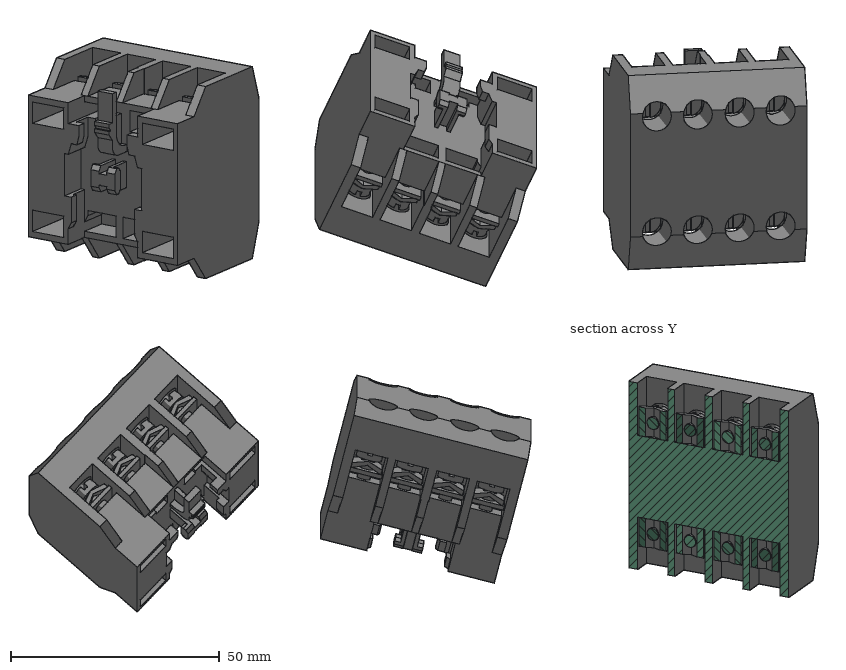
import cadquery as cq
import math


WIDTH = 43.0
HEIGHT = 48.0
DEPTH = 35.1
HALF_WIDTH = WIDTH / 2
HALF_HEIGHT = HEIGHT / 2
STEP_Z = 17.7
STEP_DEPTH = 7.1
SLOPE_END_Y = 12.1
BACK_CHAMFER_Y = 2.95
BACK_CHAMFER_Z = 8.8

POLE_X = [-15.05, -5.1, 5.1, 15.05]
SIDES = [1, -1]
POCKET_WIDTH = 8.05
POCKET_FLOOR_Z = 10.55
POCKET_FRONT_Y = 16.25
POCKET_BACK_Y = 24.1
ENTRY_EXTRA = 0.2
DRIVER_HOLE_RADIUS = 3.5

SCREW_Z = 14.25
HEAD_RADIUS = 3.1
HEAD_TOP_Y = 23.7
HEAD_LENGTH = 2.4
SHANK_RADIUS = 1.6
DRIVE_SLOT_WIDTH = 1.2
DRIVE_SLOT_DEPTH = 1.2
PLATE_FRONT_Y = 17.8
PLATE_THICKNESS = 1.0
PLATE_TOP_Z = 18.3
SADDLE_HALF_WIDTH = 3.7
SADDLE_FOOT = 0.35
SADDLE_EDGE = 1.1
SADDLE_INNER_RISE = 1.35
SADDLE_OUTER_RISE = 2.35

CHANNEL_HALF = 10.05
LIP_DEPTH = 2.35
LEDGE_Z = 12.5
JAW_HALF = 9.1
TAPER_TOP_Z = 7.6
BAY_TOP_Z = 4.8
TAPER_END_HALF = 10.0
BAY_HALF = 11.1
BAY_BOTTOM_Z = -5.75
UPPER_LIP_HALF = 6.95
UPPER_LIP_END_HALF = 7.5
UPPER_LIP_BEND_Z = 9.7
LOWER_LIP_BEND_Z = -12.15
LOWER_LIP_END_Z = -13.8

OPENING_LOW_Z = 10.85
OPENING_HIGH_Z = 16.2
OPENING_END_Y = 14.4
OUTER_OPENING_NEAR_X = 11.4
OUTER_OPENING_FAR_X = 20.3
TOP_OPENING_NEAR_X = 3.0
BOTTOM_OPENING_NEAR_X = 1.0

LATCH_HALF_WIDTH = 2.1
LATCH_FRONT_Y = 0.95
LATCH_BACK_Y = 2.6
LATCH_TOP_Z = 21.7
LATCH_BOTTOM_Z = 5.75
LATCH_OUTER_RADIUS = 2.6
ARM_TOP_Z = 7.55
LATCH_INNER_RADIUS = 3.9
TOOTH_TIP_Y = -0.45
TOOTH_VALLEY_Y = 0.2
UPPER_TOOTH_TOP_Z = 14.45
UPPER_TOOTH_EDGE_Z = 13.45
LOWER_TOOTH_TOP_Z = 12.6
LOWER_TOOTH_EDGE_Z = 11.7
TOOTH_ROOT_Z = 10.1
WEB_HALF_WIDTH = 0.55
WEB_FRONT_Y = 4.1
WEB_TOP_Z = 15.0

STOP_HALF_WIDTH = 3.45
STOP_HALF_HEIGHT = 3.25
STOP_FACE_HALF_HEIGHT = 2.05
STOP_CREST_FRONT_Y = 0.75
STOP_CREST_BACK_Y = 1.55
STOP_HOOK_BACK_HALF_HEIGHT = 2.4
STEM_HALF_WIDTH = 2.05
NOTCH_HALF_WIDTH = 1.1
NOTCH_FLOOR_Z = 1.45


def block(x_span, y_span, z_span):
    """Box between two values on each axis, given in either order."""
    spans = [x_span, y_span, z_span]
    sizes = [abs(end - start) for start, end in spans]
    low = [min(span) for span in spans]
    return cq.Workplane("XY").box(*sizes, centered=False).translate(tuple(low))


def round_bar(x, z, radius, y_start, y_end):
    """Cylinder along Y."""
    return cq.Workplane("XZ", origin=(x, y_start, z)).circle(radius).extrude(y_start - y_end)


def side_prism(outline, half_width):
    """Prism across X, centred, from a (Y, Z) outline."""
    return cq.Workplane("YZ").polyline(outline).close().extrude(half_width, both=True)


def mirrored_prism(half_outline, y_start, y_end):
    """Prism along Y from the right half (X, Z) of a symmetric outline."""
    left_half = [(-x, z) for x, z in reversed(half_outline)]
    outline = half_outline + left_half
    return cq.Workplane("XZ", origin=(0, y_start, 0)).polyline(outline).close().extrude(y_start - y_end)


def housing_block():
    upper = [
        (0, STEP_Z),
        (STEP_DEPTH, STEP_Z),
        (SLOPE_END_Y, HALF_HEIGHT),
        (DEPTH - BACK_CHAMFER_Y, HALF_HEIGHT),
        (DEPTH, HALF_HEIGHT - BACK_CHAMFER_Z),
    ]
    lower = [(y, -z) for y, z in reversed(upper)]
    return side_prism(upper + lower, HALF_WIDTH)


def pocket_cut(pole_x, side):
    """Screw pocket, its open entry at the front and the driver hole at the back."""
    left = pole_x - POCKET_WIDTH / 2
    right = pole_x + POCKET_WIDTH / 2
    pocket = block(
        (left, right),
        (POCKET_FRONT_Y, POCKET_BACK_Y),
        (side * POCKET_FLOOR_Z, side * HALF_HEIGHT),
    )
    if pole_x == POLE_X[1]:
        right += ENTRY_EXTRA
    if pole_x == POLE_X[2]:
        left -= ENTRY_EXTRA
    entry = block((left, right), (STEP_DEPTH, POCKET_FRONT_Y), (side * STEP_Z, side * HALF_HEIGHT))
    driver_hole = round_bar(pole_x, side * SCREW_Z, DRIVER_HOLE_RADIUS, POCKET_BACK_Y, DEPTH)
    return pocket.union(entry).union(driver_hole)


BAY_EDGE = [
    (JAW_HALF, TAPER_TOP_Z),
    (TAPER_END_HALF, BAY_TOP_Z),
    (BAY_HALF, BAY_TOP_Z),
    (BAY_HALF, BAY_BOTTOM_Z),
]


def channel_mouth(y_start, y_end):
    """Prism of the channel outline between the lips."""
    half_outline = [
        (CHANNEL_HALF, STEP_Z),
        (CHANNEL_HALF, LEDGE_Z),
        (UPPER_LIP_HALF, LEDGE_Z),
        (UPPER_LIP_HALF, UPPER_LIP_BEND_Z),
        (UPPER_LIP_END_HALF, TAPER_TOP_Z),
        *BAY_EDGE,
        (JAW_HALF, BAY_BOTTOM_Z),
        (JAW_HALF, LOWER_LIP_BEND_Z),
        (CHANNEL_HALF, LOWER_LIP_END_Z),
        (CHANNEL_HALF, -STEP_Z),
    ]
    return mirrored_prism(half_outline, y_start, y_end)


def channel_cut():
    """Rail channel: the lips narrow its front, the space behind them is wider."""
    undercut_outline = [
        (CHANNEL_HALF, STEP_Z),
        (CHANNEL_HALF, LEDGE_Z),
        (JAW_HALF, LEDGE_Z),
        *BAY_EDGE,
        (CHANNEL_HALF, BAY_BOTTOM_Z),
        (CHANNEL_HALF, -STEP_Z),
    ]
    undercut = mirrored_prism(undercut_outline, LIP_DEPTH, STEP_DEPTH)
    return channel_mouth(0, LIP_DEPTH).union(undercut)


def outer_opening(x_sign, side):
    """Blind opening in the front face."""
    return block(
        (x_sign * OUTER_OPENING_NEAR_X, x_sign * OUTER_OPENING_FAR_X),
        (0, OPENING_END_Y),
        (side * OPENING_LOW_Z, side * OPENING_HIGH_Z),
    )


def inner_opening(x_sign, side):
    """Blind opening in the channel floor, trimmed to the outline between the lips."""
    near_x = TOP_OPENING_NEAR_X if side > 0 else BOTTOM_OPENING_NEAR_X
    opening = block(
        (x_sign * near_x, x_sign * CHANNEL_HALF),
        (STEP_DEPTH, OPENING_END_Y),
        (side * OPENING_LOW_Z, side * OPENING_HIGH_Z),
    )
    return opening.intersect(channel_mouth(STEP_DEPTH, OPENING_END_Y))


def latch():
    """Toothed upright bar bent back to the channel floor, with a central web behind it."""
    diagonal = math.sqrt(0.5)
    outer_centre = (LATCH_FRONT_Y + LATCH_OUTER_RADIUS, LATCH_BOTTOM_Z + LATCH_OUTER_RADIUS)
    inner_centre = (LATCH_BACK_Y + LATCH_INNER_RADIUS, ARM_TOP_Z + LATCH_INNER_RADIUS)
    outer_mid = tuple(c - LATCH_OUTER_RADIUS * diagonal for c in outer_centre)
    inner_mid = tuple(c - LATCH_INNER_RADIUS * diagonal for c in inner_centre)
    bar = (
        cq.Workplane("YZ")
        .moveTo(LATCH_BACK_Y, LATCH_TOP_Z)
        .lineTo(LATCH_FRONT_Y, LATCH_TOP_Z)
        .lineTo(LATCH_FRONT_Y, UPPER_TOOTH_TOP_Z)
        .lineTo(TOOTH_TIP_Y, UPPER_TOOTH_TOP_Z)
        .lineTo(TOOTH_TIP_Y, UPPER_TOOTH_EDGE_Z)
        .lineTo(TOOTH_VALLEY_Y, LOWER_TOOTH_TOP_Z)
        .lineTo(TOOTH_TIP_Y, LOWER_TOOTH_TOP_Z)
        .lineTo(TOOTH_TIP_Y, LOWER_TOOTH_EDGE_Z)
        .lineTo(LATCH_FRONT_Y, TOOTH_ROOT_Z)
        .lineTo(LATCH_FRONT_Y, outer_centre[1])
        .threePointArc(outer_mid, (outer_centre[0], LATCH_BOTTOM_Z))
        .lineTo(STEP_DEPTH, LATCH_BOTTOM_Z)
        .lineTo(STEP_DEPTH, ARM_TOP_Z)
        .lineTo(inner_centre[0], ARM_TOP_Z)
        .threePointArc(inner_mid, (LATCH_BACK_Y, inner_centre[1]))
        .close()
        .extrude(LATCH_HALF_WIDTH, both=True)
    )
    arm_middle_z = (LATCH_BOTTOM_Z + ARM_TOP_Z) / 2
    web = block(
        (-WEB_HALF_WIDTH, WEB_HALF_WIDTH),
        (WEB_FRONT_Y, STEP_DEPTH),
        (arm_middle_z, WEB_TOP_Z),
    )
    return bar.union(web)


def stop():
    """Stem from the channel floor with a wider hooked head, notched above and below."""
    upper = [
        (0, STOP_FACE_HALF_HEIGHT),
        (STOP_CREST_FRONT_Y, STOP_HALF_HEIGHT),
        (STOP_CREST_BACK_Y, STOP_HALF_HEIGHT),
        (LIP_DEPTH, STOP_HOOK_BACK_HALF_HEIGHT),
    ]
    lower = [(y, -z) for y, z in reversed(upper)]
    head = side_prism(upper + lower, STOP_HALF_WIDTH)
    stem = block(
        (-STEM_HALF_WIDTH, STEM_HALF_WIDTH),
        (STOP_CREST_FRONT_Y, STEP_DEPTH),
        (-STOP_HALF_HEIGHT, STOP_HALF_HEIGHT),
    )
    body = head.union(stem)
    for side in SIDES:
        notch = block(
            (-NOTCH_HALF_WIDTH, NOTCH_HALF_WIDTH),
            (0, STEP_DEPTH),
            (side * NOTCH_FLOOR_Z, side * STOP_HALF_HEIGHT),
        )
        body = body.cut(notch)
    return body


def make_housing():
    body = housing_block().cut(channel_cut())
    for side in SIDES:
        for x_sign in (-1, 1):
            body = body.cut(outer_opening(x_sign, side)).cut(inner_opening(x_sign, side))
        for pole_x in POLE_X:
            body = body.cut(pocket_cut(pole_x, side))
    return body.union(latch()).union(stop())


def saddle(pole_x, side):
    """Roof-shaped clamp standing on the plate."""
    plate_back = PLATE_FRONT_Y + PLATE_THICKNESS
    half_outline = [
        (0, SADDLE_OUTER_RISE),
        (SADDLE_HALF_WIDTH, SADDLE_EDGE),
        (SADDLE_HALF_WIDTH, 0),
        (SADDLE_HALF_WIDTH - SADDLE_FOOT, 0),
        (0, SADDLE_INNER_RISE),
    ]
    other_half = [(-x, rise) for x, rise in half_outline[-2:0:-1]]
    return (
        cq.Workplane("XY", origin=(pole_x, plate_back, side * SCREW_Z))
        .polyline(half_outline + other_half)
        .close()
        .extrude(SADDLE_HALF_WIDTH, both=True)
    )


def make_terminal(pole_x, side):
    screw_z = side * SCREW_Z
    head_base_y = HEAD_TOP_Y - HEAD_LENGTH
    shank = round_bar(pole_x, screw_z, SHANK_RADIUS, POCKET_FRONT_Y, HEAD_TOP_Y - DRIVE_SLOT_DEPTH)
    head = round_bar(pole_x, screw_z, HEAD_RADIUS, head_base_y, HEAD_TOP_Y)
    drive_slot = block(
        (pole_x - DRIVE_SLOT_WIDTH / 2, pole_x + DRIVE_SLOT_WIDTH / 2),
        (HEAD_TOP_Y - DRIVE_SLOT_DEPTH, HEAD_TOP_Y),
        (screw_z - HEAD_RADIUS, screw_z + HEAD_RADIUS),
    )
    plate = block(
        (pole_x - POCKET_WIDTH / 2, pole_x + POCKET_WIDTH / 2),
        (PLATE_FRONT_Y, PLATE_FRONT_Y + PLATE_THICKNESS),
        (side * POCKET_FLOOR_Z, side * PLATE_TOP_Z),
    )
    return shank.union(head).cut(drive_slot).union(plate).union(saddle(pole_x, side))


housing = make_housing()
terminals = []
for row_side in SIDES:
    for terminal_x in POLE_X:
        terminals.append(make_terminal(terminal_x, row_side).solids().val())

result = cq.Compound.makeCompound([housing.solids().val(), *terminals])